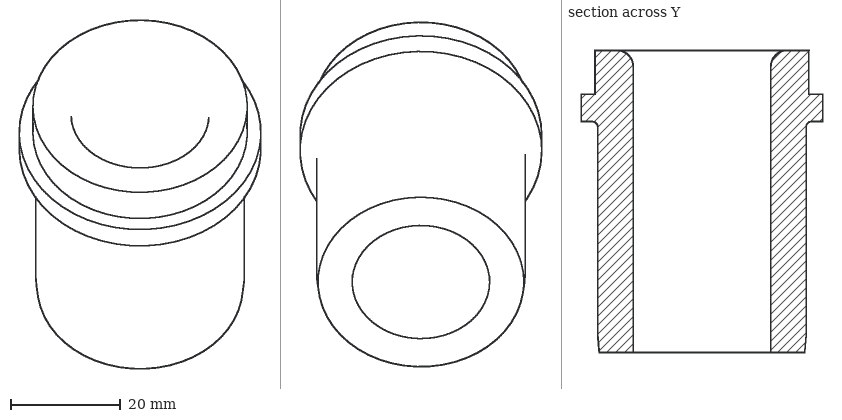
import cadquery as cq
import math


total_height = 55.0
head_height = 8.0
collar_height = 5.0
lead_in_height = 3.0

head_radius = 39.0 / 2
collar_radius = 44.0 / 2
shank_radius = 38.0 / 2
bore_radius = 25.0 / 2

lead_in_angle = 5.0
mouth_radius = 3.0
neck_fillet_radius = 1.0

collar_top = total_height - head_height
collar_bottom = collar_top - collar_height
lead_in_end_radius = shank_radius - lead_in_height * math.tan(math.radians(lead_in_angle))


def cylinder(radius, bottom, top):
    """Upright cylinder on the Z axis between two heights."""
    return cq.Workplane("XY").workplane(offset=bottom).circle(radius).extrude(top - bottom)


def outer_body():
    """Solid of revolution: tapered lead-in, shank, neck fillet, collar and head."""
    arc_middle = neck_fillet_radius * (1 - math.sqrt(0.5))
    profile = (
        cq.Workplane("XZ")
        .moveTo(0, 0)
        .lineTo(lead_in_end_radius, 0)
        .lineTo(shank_radius, lead_in_height)
        .lineTo(shank_radius, collar_bottom - neck_fillet_radius)
        .threePointArc(
            (shank_radius + arc_middle, collar_bottom - arc_middle),
            (shank_radius + neck_fillet_radius, collar_bottom),
        )
        .lineTo(collar_radius, collar_bottom)
        .lineTo(collar_radius, collar_top)
        .lineTo(head_radius, collar_top)
        .lineTo(head_radius, total_height)
        .lineTo(0, total_height)
        .close()
    )
    return profile.revolve(360, (0, 0, 0), (0, 1, 0))


def bore_with_mouth(body):
    """Through bore with a rounded upper mouth."""
    bored = body.cut(cylinder(bore_radius, 0, total_height))
    mouth_edge = cq.selectors.RadiusNthSelector(0)
    return bored.faces(">Z").edges(mouth_edge).fillet(mouth_radius)


result = bore_with_mouth(outer_body())